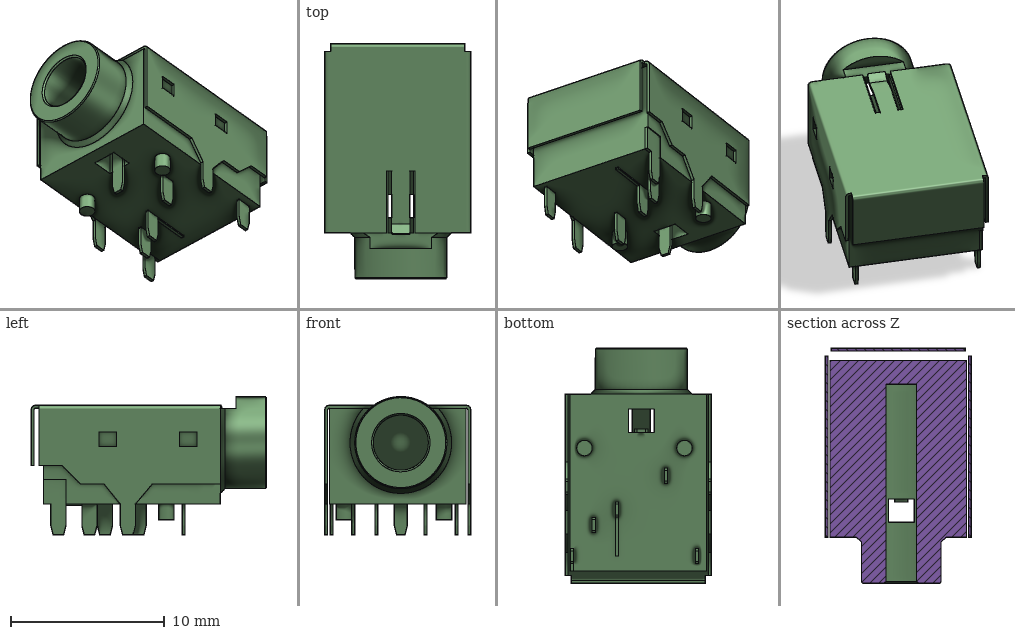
import cadquery as cq
import math


total_length = 15.3
barrel_length = 3.0
shell_width = 9.5
shell_top_z = 6.43
sheet = 0.2
eps = 0.02

housing_width = 8.89
housing_length = 11.5
housing_top_z = shell_top_z - sheet
axis_x = 0.2
axis_z = 4.0
barrel_radius = 3.0
barrel_edge_chamfer = 0.08
root_flare = 0.3
shelf_length = 1.01
bore_radius = 1.79
bore_mouth_chamfer = 0.1
bore_end_y = 9.95
tongue_slot_width = 1.65
window_front_y = 0.98
window_back_y = 2.48
post_radius = 0.5
post_length = 1.03
post_spacing = 6.5
post_center_x = -0.25
post_y = 3.5

bend_radius = 0.3
shell_back_y = total_length - barrel_length
side_back_y = 11.8
flap_width = 8.72
back_bottom_z = 2.5
skirt_z = 1.32
rear_step_y = 10.28
rear_step_run = back_bottom_z - skirt_z
shell_leg_y = 6.01
leg_root_back_y = 7.57
leg_root_front_y = 4.4
latch_bottom_z = 3.75
latch_height = 0.95
latch_length = 1.13
latch_centers_y = (2.1, 7.31)

tongue_width = 1.2
tongue_gap_width = 1.84
tongue_root_y = 4.01
tongue_bend_y = 1.99
tongue_low_y = 0.58
tongue_drop = 0.28
tongue_tip_y = -0.05
tongue_corner_radius = 0.1

leg_bottom_z = -2.0
leg_width = 1.0
front_leg_width = 0.85
leg_tip_height = 0.6
leg_tip_inset = 0.15
pin_top_z = 1.6
corner_pin_x = -4.3
corner_pin_y = 10.53
heel_pin_x = -1.39
heel_pin_y = 7.5
heel_back_y = 10.53
heel_bottom_z = -0.1
plain_pins = ((-2.89, 8.5), (1.8, 5.31), (3.82, 10.53))


def box(x_min, x_max, y_min, y_max, z_min, z_max):
    """Block between two opposite corners."""
    size = (x_max - x_min, y_max - y_min, z_max - z_min)
    return cq.Workplane("XY").box(*size, centered=False).translate((x_min, y_min, z_min))


def centered_box(x_center, width, y_min, y_max, z_min, z_max):
    """Block placed symmetrically about one X position."""
    return box(x_center - width / 2, x_center + width / 2, y_min, y_max, z_min, z_max)


def leg_points(center, width):
    """Outline of a leg below its root, tapered at the tip: (along, z) from low to high side."""
    half = width / 2
    tip_half = half - leg_tip_inset
    taper_z = leg_bottom_z + leg_tip_height
    return [
        (center - half, taper_z),
        (center - tip_half, leg_bottom_z),
        (center + tip_half, leg_bottom_z),
        (center + half, taper_z),
    ]


def side_blade(x_center, points):
    """Sheet blade parallel to the YZ plane."""
    blade = cq.Workplane("YZ").polyline(points).close().extrude(sheet / 2, both=True)
    return blade.translate((x_center, 0, 0))


def make_plain_pin(x_center, y_center):
    """Straight pin whose leg continues up into the housing."""
    half = leg_width / 2
    top = [(y_center + half, pin_top_z), (y_center - half, pin_top_z)]
    return side_blade(x_center, leg_points(y_center, leg_width) + top)


def make_corner_pin():
    """Pin lying in the side wall, with a root plate reaching the back of the housing."""
    half = leg_width / 2
    plate = [
        (corner_pin_y + half, 0),
        (housing_length, 0),
        (housing_length, pin_top_z),
        (corner_pin_y - half, pin_top_z),
    ]
    return side_blade(corner_pin_x, leg_points(corner_pin_y, leg_width) + plate)


def make_heel_pin():
    """Pin whose root runs back below the housing as a shallow heel."""
    half = leg_width / 2
    heel = [
        (heel_pin_y + half, heel_bottom_z),
        (heel_back_y, heel_bottom_z),
        (heel_back_y, pin_top_z),
        (heel_pin_y - half, pin_top_z),
    ]
    return side_blade(heel_pin_x, leg_points(heel_pin_y, leg_width) + heel)


def make_front_pin():
    """Pin facing the socket mouth, against the back wall of the housing window."""
    half = front_leg_width / 2
    top = [(axis_x + half, pin_top_z), (axis_x - half, pin_top_z)]
    outline = leg_points(axis_x, front_leg_width) + top
    blade = cq.Workplane("XZ").polyline(outline).close().extrude(sheet)
    return blade.translate((0, window_back_y, 0))


def make_barrel():
    """Socket barrel with its flared root and the flat shelf on top of the root."""
    root_radius = barrel_radius + root_flare
    profile = [
        (0, root_flare),
        (root_radius, root_flare),
        (root_radius, 0),
        (barrel_radius, -root_flare),
        (barrel_radius, barrel_edge_chamfer - barrel_length),
        (barrel_radius - barrel_edge_chamfer, -barrel_length),
        (0, -barrel_length),
    ]
    barrel = cq.Workplane("XY").polyline(profile).close().revolve(360, (0, 0, 0), (0, 1, 0))
    barrel = barrel.translate((axis_x, 0, axis_z))
    above_shelf = centered_box(
        axis_x, 2 * root_radius, -shelf_length, root_flare, housing_top_z, axis_z + root_radius + eps
    )
    return barrel.cut(above_shelf)


def make_bore():
    """Plug bore, chamfered at its mouth."""
    mouth_radius = bore_radius + bore_mouth_chamfer
    profile = [
        (0, -barrel_length),
        (mouth_radius, -barrel_length),
        (bore_radius, bore_mouth_chamfer - barrel_length),
        (bore_radius, bore_end_y),
        (0, bore_end_y),
    ]
    bore = cq.Workplane("XY").polyline(profile).close().revolve(360, (0, 0, 0), (0, 1, 0))
    return bore.translate((axis_x, 0, axis_z))


def make_housing(pins):
    """Moulded block with barrel, posts and bore, and a socket for each pin."""
    body = centered_box(0, housing_width, 0, housing_length, 0, housing_top_z)
    body = body.union(make_barrel())
    for side in (-1, 1):
        post_x = post_center_x + side * post_spacing / 2
        post = cq.Workplane("XY").center(post_x, post_y).circle(post_radius).extrude(-post_length)
        body = body.union(post)
    body = body.cut(make_bore())

    tongue_slot = centered_box(
        axis_x, tongue_slot_width, 0, tongue_root_y, axis_z, housing_top_z + eps
    )
    window = centered_box(axis_x, tongue_slot_width, window_front_y, window_back_y, -eps, axis_z)
    corner_pocket = box(
        -housing_width / 2 - eps,
        corner_pin_x,
        corner_pin_y - leg_width / 2,
        housing_length + eps,
        -eps,
        pin_top_z,
    )
    body = body.cut(tongue_slot).cut(window).cut(corner_pocket)
    for pin in pins:
        body = body.cut(pin)
    return body


def make_side_outline():
    """Region kept of both shell sides, including the leg under each of them."""
    outline = leg_points(shell_leg_y, leg_width)
    outline += [
        (shell_leg_y + leg_width / 2, 0),
        (leg_root_back_y, skirt_z),
        (rear_step_y - rear_step_run, skirt_z),
        (rear_step_y, back_bottom_z),
        (side_back_y, back_bottom_z),
        (side_back_y, shell_top_z),
        (0, shell_top_z),
        (0, skirt_z),
        (leg_root_front_y, skirt_z),
        (shell_leg_y - leg_width / 2, 0),
    ]
    return cq.Workplane("YZ").polyline(outline).close().extrude(shell_width, both=True)


def make_channel():
    """Top and sides of the shell, folded along both long edges."""
    outer = centered_box(0, shell_width, 0, side_back_y, leg_bottom_z, shell_top_z)
    outer = outer.edges("|Y and >Z").fillet(bend_radius)
    inner = centered_box(
        0, shell_width - 2 * sheet, 0, side_back_y, leg_bottom_z, shell_top_z - sheet
    )
    inner = inner.edges("|Y and >Z").fillet(bend_radius - sheet)
    return outer.cut(inner).intersect(make_side_outline())


def make_back_flap():
    """Narrower strip that continues the top and folds down behind the housing."""
    start_y = side_back_y - bend_radius
    outer = centered_box(0, flap_width, start_y, shell_back_y, back_bottom_z, shell_top_z)
    outer = outer.edges("|X and >Z and >Y").fillet(bend_radius)
    inner = centered_box(
        0, flap_width, start_y, shell_back_y - sheet, back_bottom_z, shell_top_z - sheet
    )
    inner = inner.edges("|X and >Z and >Y").fillet(bend_radius - sheet)
    return outer.cut(inner)


def make_tongue():
    """Spring tongue: flat root, downward slope, then a tip turned up to rest on the housing."""
    low_z = shell_top_z - tongue_drop
    tip_angle = math.atan2(tongue_drop, tongue_low_y - tongue_tip_y)
    tip_under_y = tongue_tip_y - sheet * math.sin(tip_angle)
    tip_under_z = shell_top_z - sheet * math.cos(tip_angle)
    outline = [
        (tongue_root_y, shell_top_z),
        (tongue_bend_y, shell_top_z),
        (tongue_low_y, low_z),
        (tongue_tip_y, shell_top_z),
        (tip_under_y, tip_under_z),
        (0, housing_top_z),
        (tongue_low_y, low_z - sheet),
        (tongue_bend_y, shell_top_z - sheet),
        (tongue_root_y, shell_top_z - sheet),
    ]
    tongue = cq.Workplane("YZ").polyline(outline).close().extrude(tongue_width / 2, both=True)
    tongue = tongue.faces("<Y").edges("not |X").fillet(tongue_corner_radius)
    return tongue.translate((axis_x, 0, 0))


def make_shell():
    """Folded shell with its tongue and the openings in the sides."""
    body = make_channel().union(make_back_flap())
    tongue_gap = centered_box(
        axis_x, tongue_gap_width, -eps, tongue_root_y, shell_top_z - sheet - eps, shell_top_z + eps
    )
    body = body.cut(tongue_gap).union(make_tongue())
    for center_y in latch_centers_y:
        opening = centered_box(
            0,
            shell_width + 2 * eps,
            center_y - latch_length / 2,
            center_y + latch_length / 2,
            latch_bottom_z,
            latch_bottom_z + latch_height,
        )
        body = body.cut(opening)
    return body


pins = [make_corner_pin(), make_heel_pin(), make_front_pin()]
for pin_x, pin_y in plain_pins:
    pins.append(make_plain_pin(pin_x, pin_y))

housing = make_housing(pins)
shell = make_shell()

result = cq.Compound.makeCompound([housing.val(), shell.val(), *[pin.val() for pin in pins]])